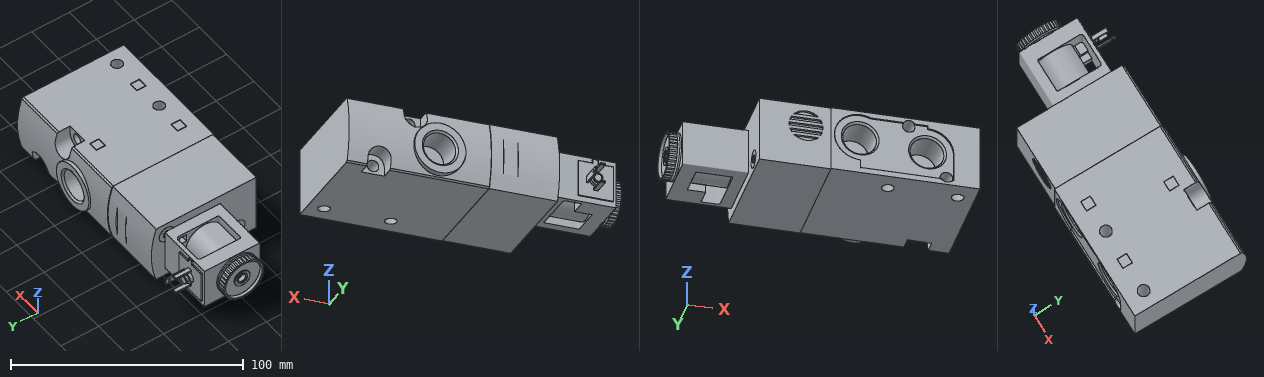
import cadquery as cq
import math


TOTAL_LENGTH = 132.2
BLOCK_HEIGHT = 31.0
HALF_HEIGHT = BLOCK_HEIGHT / 2
COIL_FRONT_X = 5.3
PILOT_START_X = 34.4
VALVE_START_X = 66.1
COIL_AXIS_Y = 31.8

VALVE_BACK_Y = 56.4
BACK_BULGE = 2.5
VALVE_EDGE_CHAMFER = 0.7
PORT_DIAMETER = 14.9
PORT_MOUTH_DIAMETER = 16.8
PORT_DEPTH = 14.5
PORTS_XZ = ((79.2, 2.4), (109.0, 0.0))
PANEL_DEPTH = 0.8
PANEL_RADIUS = 11.5
PANEL_HALF_HEIGHT = 13.0
BOLT_DIAMETER = 5.4
FRONT_BOLT_Z = 11.6
FRONT_BOLTS = ((100.7, 1), (117.5, -1))
TOP_BOLTS_X = (93.5, 124.5)
TOP_BOLT_Y = 9.1
BOLT_SLOT_WIDTH = 10.7
BOLT_SLOT_FLOOR_Y = 47.3
BACK_PORT_X = 90.3
BACK_PORT_Z = -2.4
BACK_BOSS_DIAMETER = 23.8
BACK_BOSS_Y = 57.4
LABEL_SIZE = 4.8
LABEL_DEPTH = 0.3
BACK_LABEL_Y = 44.1

PILOT_FRONT_Y = 0.4
PILOT_BACK_Y = 56.0
VENT_DIAMETER = 14.9
VENT_X = 55.1
VENT_Z = 4.8
VENT_DEPTH = 1.0
VENT_BAR_HEIGHT = 1.5
VENT_PITCH = 3.0
VENT_BAR_COUNT = 4
BACK_POCKET_START_X = 53.5
BACK_POCKET_LENGTH = 6.7
BACK_POCKET_HEIGHT = 18.5
BACK_POCKET_FLOOR_Y = 55.4

SCREW_DIAMETER = 8.0
SCREW_LENGTH = 13.2
SCREWS_YZ = ((47.8, 9.0), (10.5, -9.4))
SOCKET_DEPTH = 1.3
SOCKET_TIP_RADIUS = 2.0
SOCKET_ROOT_RADIUS = 1.5
SOCKET_LOBES = 6

COIL_FRONT_Y = 19.4
COIL_BACK_Y = 48.9
COIL_HEIGHT = 21.8
COIL_EDGE_FILLET = 0.4
WINDOW_START_X = 12.4
WINDOW_END_X = 28.8
WINDOW_FRONT_Y = 24.3
WINDOW_BACK_Y = 46.9
WINDOW_FRONT_FILLET = 0.7
WINDOW_BACK_FILLET = 1.3
WIRE_OPENING_SIZE = 3.8
WIRE_OPENING_BACK_Y = 45.2
WIRE_OPENING_TOP_Z = 9.4
BOBBIN_DIAMETER = 20.0
LOWER_BLOCK_END_X = 20.5
LOWER_BLOCK_FRONT_Y = 39.0
LOWER_BLOCK_TOP_Z = -5.3
UPPER_BLOCK_END_X = 17.3
UPPER_BLOCK_FRONT_Y = 41.8
UPPER_BLOCK_TOP_Z = -2.6
UPPER_BLOCK_CHAMFER = 1.3

PLATE_START_X = 6.9
PLATE_END_X = 23.0
PLATE_BACK_Y = 49.5
PLATE_HEIGHT = 16.7
KEY_WIDTH = 2.6
KEY_TOP_Z = 10.2
POST_X = 15.0
POST_BASE_DIAMETER = 5.3
POST_BASE_Y = 51.1
POST_NECK_DIAMETER = 3.3
POST_NECK_Y = 52.5
POST_HEAD_DIAMETER = 4.0
POST_HEAD_Y = 53.0
BLADE_TIP_CHAMFER = 0.3
POWER_BLADE_WIDTH = 2.1
POWER_BLADE_THICKNESS = 0.9
POWER_BLADE_TIP_Y = 58.0
POWER_BLADE_Z = 4.2
EARTH_BLADE_X = 18.9
EARTH_BLADE_Z = -0.1
EARTH_BLADE_THICKNESS = 0.8
EARTH_BLADE_WIDTH = 3.0
EARTH_BLADE_TIP_Y = 59.9
EARTH_HOLE_DIAMETER = 1.3
EARTH_HOLE_Y = 57.7

NUT_RADIUS = 10.7
NUT_THICKNESS = 3.6
TOOTH_COUNT = 36
TOOTH_DEPTH = 0.4
NUT_RECESS_DIAMETER = 19.3
NUT_RECESS_DEPTH = 1.6
HUB_DIAMETER = 8.0
HUB_HEIGHT = 0.7
HUB_RING_DIAMETER = 5.3
HUB_RING_DEPTH = 0.4
HUB_HOLE_DIAMETER = 3.8
NUT_NECK_DIAMETER = 10.0
WASHER_DIAMETER = 21.1
WASHER_THICKNESS = 0.8


def box(x_range, y_range, z_range):
    """Box between two limits on each axis."""
    size = [high - low for low, high in (x_range, y_range, z_range)]
    corner = (x_range[0], y_range[0], z_range[0])
    return cq.Workplane("XY").box(*size, centered=False).translate(corner)


def x_cylinder(diameter, start_x, length, y, z):
    return cq.Workplane("YZ", origin=(start_x, y, z)).circle(diameter / 2).extrude(length)


def y_cylinder(diameter, x, z, start_y, end_y):
    """Cylinder along Y between two Y positions."""
    plane = cq.Workplane("XZ", origin=(x, start_y, z))
    return plane.circle(diameter / 2).extrude(start_y - end_y)


def domed_block(start_x, end_x, front_y, back_y):
    """Block with a flat front and a back that bulges outward along an arc."""
    edge_y = back_y - BACK_BULGE
    return (
        cq.Workplane("YZ", origin=(start_x, 0, 0))
        .moveTo(front_y, -HALF_HEIGHT)
        .lineTo(edge_y, -HALF_HEIGHT)
        .threePointArc((back_y, 0), (edge_y, HALF_HEIGHT))
        .lineTo(front_y, HALF_HEIGHT)
        .close()
        .extrude(end_x - start_x)
    )


def port(x, z, mouth_y, inward):
    """Port cutter along Y with a conical mouth; inward is +1 or -1."""
    radius = PORT_DIAMETER / 2
    mouth_radius = PORT_MOUTH_DIAMETER / 2
    cone_depth = mouth_radius - radius
    axis_end = (0, inward)
    return (
        cq.Workplane("XY", origin=(x, mouth_y, z))
        .polyline(
            [
                (0, 0),
                (mouth_radius, 0),
                (radius, inward * cone_depth),
                (radius, inward * PORT_DEPTH),
                (0, inward * PORT_DEPTH),
            ]
        )
        .close()
        .revolve(360, (0, 0), axis_end)
    )


def front_panel():
    """Shallow sunken panel around the two front ports."""
    (left_x, left_z), (right_x, right_z) = PORTS_XZ
    radius = PANEL_RADIUS
    top_z = PANEL_HALF_HEIGHT
    right_edge_x = right_x + radius
    left_arc_end_x = left_x + math.sqrt(radius**2 - (top_z - left_z) ** 2)
    diagonal = radius * math.sqrt(0.5)
    return (
        cq.Workplane("XZ")
        .moveTo(left_x, -top_z)
        .lineTo(left_x, left_z - radius)
        .threePointArc((left_x - radius, left_z), (left_arc_end_x, top_z))
        .lineTo(right_x, top_z)
        .lineTo(right_x, right_z + radius)
        .threePointArc((right_x + diagonal, right_z + diagonal), (right_edge_x, right_z))
        .lineTo(right_edge_x, -top_z)
        .close()
        .extrude(-PANEL_DEPTH)
    )


def bolt_slot(x, side):
    """Round-bottomed notch behind a front bolt hole, open to the top (+1) or bottom (-1)."""
    half_width = BOLT_SLOT_WIDTH / 2
    z = side * FRONT_BOLT_Z
    rounded = y_cylinder(BOLT_SLOT_WIDTH, x, z, BOLT_SLOT_FLOOR_Y, VALVE_BACK_Y)
    z_range = sorted((z, side * HALF_HEIGHT))
    opening = box((x - half_width, x + half_width), (BOLT_SLOT_FLOOR_Y, VALVE_BACK_Y), z_range)
    return rounded.union(opening)


def label_pocket(x, y):
    """Shallow square pocket cutter in the top face."""
    half = LABEL_SIZE / 2
    z_range = (HALF_HEIGHT - LABEL_DEPTH, HALF_HEIGHT)
    return box((x - half, x + half), (y - half, y + half), z_range)


def make_valve_body():
    body = domed_block(VALVE_START_X, TOTAL_LENGTH, 0, VALVE_BACK_Y)
    body = body.edges("|X").edges(">Y").chamfer(VALVE_EDGE_CHAMFER)
    body = body.union(
        y_cylinder(BACK_BOSS_DIAMETER, BACK_PORT_X, BACK_PORT_Z, BOLT_SLOT_FLOOR_Y, BACK_BOSS_Y)
    )
    body = body.cut(port(BACK_PORT_X, BACK_PORT_Z, BACK_BOSS_Y, -1))
    body = body.cut(front_panel())
    for x, z in PORTS_XZ:
        body = body.cut(port(x, z, PANEL_DEPTH, 1))
        body = body.cut(label_pocket(x, TOP_BOLT_Y))
    body = body.cut(label_pocket(BACK_PORT_X, BACK_LABEL_Y))
    for x, side in FRONT_BOLTS:
        body = body.cut(y_cylinder(BOLT_DIAMETER, x, side * FRONT_BOLT_Z, 0, VALVE_BACK_Y))
        body = body.cut(bolt_slot(x, side))
    top_bolts = [(x, TOP_BOLT_Y) for x in TOP_BOLTS_X]
    holes = cq.Workplane("XY", origin=(0, 0, -HALF_HEIGHT)).pushPoints(top_bolts)
    return body.cut(holes.circle(BOLT_DIAMETER / 2).extrude(BLOCK_HEIGHT))


def vent_grille():
    """Shallow round vent cutter divided by horizontal bars."""
    floor_y = PILOT_FRONT_Y + VENT_DEPTH
    half = VENT_DIAMETER / 2
    vent = y_cylinder(VENT_DIAMETER, VENT_X, VENT_Z, PILOT_FRONT_Y, floor_y)
    for i in range(VENT_BAR_COUNT):
        z = VENT_Z + (i - (VENT_BAR_COUNT - 1) / 2) * VENT_PITCH
        bar_z = (z - VENT_BAR_HEIGHT / 2, z + VENT_BAR_HEIGHT / 2)
        vent = vent.cut(box((VENT_X - half, VENT_X + half), (PILOT_FRONT_Y, floor_y), bar_z))
    return vent


def make_pilot_block():
    block = domed_block(PILOT_START_X, VALVE_START_X, PILOT_FRONT_Y, PILOT_BACK_Y)
    block = block.cut(vent_grille())
    pocket_end_x = BACK_POCKET_START_X + BACK_POCKET_LENGTH
    half = BACK_POCKET_HEIGHT / 2
    block = block.cut(
        box((BACK_POCKET_START_X, pocket_end_x), (BACK_POCKET_FLOOR_Y, PILOT_BACK_Y), (-half, half))
    )
    for y, z in SCREWS_YZ:
        block = block.cut(x_cylinder(SCREW_DIAMETER, PILOT_START_X, SCREW_LENGTH, y, z))
    return block


def make_screw(y, z):
    """Screw flush with the pilot block face, with a six-pointed socket."""
    screw = x_cylinder(SCREW_DIAMETER, PILOT_START_X, SCREW_LENGTH, y, z)
    points = []
    for i in range(2 * SOCKET_LOBES):
        radius = SOCKET_ROOT_RADIUS if i % 2 else SOCKET_TIP_RADIUS
        angle = math.pi / 2 + i * math.pi / SOCKET_LOBES
        points.append((radius * math.cos(angle), radius * math.sin(angle)))
    face = cq.Workplane("YZ", origin=(PILOT_START_X, y, z))
    return screw.cut(face.polyline(points).close().extrude(SOCKET_DEPTH))


def coil_frame():
    """Coil housing with an open window that shows the round bobbin."""
    half = COIL_HEIGHT / 2
    z_range = (-half, half)
    frame = box((COIL_FRONT_X, PILOT_START_X), (COIL_FRONT_Y, COIL_BACK_Y), z_range)
    frame = frame.edges("|X").edges("<Y").fillet(COIL_EDGE_FILLET)
    window = box((WINDOW_START_X, WINDOW_END_X), (WINDOW_FRONT_Y, WINDOW_BACK_Y), z_range)
    window = window.edges("|Z and <Y").fillet(WINDOW_FRONT_FILLET)
    window = window.edges("|Z and >Y").fillet(WINDOW_BACK_FILLET)
    wire_opening = box(
        (WINDOW_END_X, PILOT_START_X),
        (WIRE_OPENING_BACK_Y - WIRE_OPENING_SIZE, WIRE_OPENING_BACK_Y),
        (WIRE_OPENING_TOP_Z - WIRE_OPENING_SIZE, WIRE_OPENING_TOP_Z),
    )
    bobbin_length = PILOT_START_X - COIL_FRONT_X
    bobbin = x_cylinder(BOBBIN_DIAMETER, COIL_FRONT_X, bobbin_length, COIL_AXIS_Y, 0)
    lower_block = box(
        (WINDOW_START_X, LOWER_BLOCK_END_X),
        (LOWER_BLOCK_FRONT_Y, WINDOW_BACK_Y),
        (-half, LOWER_BLOCK_TOP_Z),
    )
    upper_block = box(
        (WINDOW_START_X, UPPER_BLOCK_END_X),
        (UPPER_BLOCK_FRONT_Y, WINDOW_BACK_Y),
        (LOWER_BLOCK_TOP_Z, UPPER_BLOCK_TOP_Z),
    )
    upper_block = upper_block.faces(">Z").edges("<Y").chamfer(UPPER_BLOCK_CHAMFER)
    frame = frame.cut(window).cut(wire_opening)
    return frame.union(bobbin).union(lower_block).union(upper_block)


def terminal_plate():
    """Flat plate on the back of the coil with a key tab at its top."""
    half = PLATE_HEIGHT / 2
    y_range = (COIL_BACK_Y, PLATE_BACK_Y)
    plate = box((PLATE_START_X, PLATE_END_X), y_range, (-half, half))
    return plate.union(box((POST_X - KEY_WIDTH / 2, POST_X + KEY_WIDTH / 2), y_range, (half, KEY_TOP_Z)))


def terminal_post():
    base = y_cylinder(POST_BASE_DIAMETER, POST_X, 0, PLATE_BACK_Y, POST_BASE_Y)
    neck = y_cylinder(POST_NECK_DIAMETER, POST_X, 0, POST_BASE_Y, POST_NECK_Y)
    head = y_cylinder(POST_HEAD_DIAMETER, POST_X, 0, POST_NECK_Y, POST_HEAD_Y)
    return base.union(neck).union(head)


def blade(x, z, x_size, z_size, tip_y):
    """Contact blade along Y, with the tip chamfered on its two wide faces."""
    x_range = (x - x_size / 2, x + x_size / 2)
    z_range = (z - z_size / 2, z + z_size / 2)
    long_tip_edges = "|X" if x_size > z_size else "|Z"
    contact = box(x_range, (PLATE_BACK_Y, tip_y), z_range)
    return contact.faces(">Y").edges(long_tip_edges).chamfer(BLADE_TIP_CHAMFER)


def earth_blade():
    thickness = EARTH_BLADE_THICKNESS
    contact = blade(EARTH_BLADE_X, EARTH_BLADE_Z, thickness, EARTH_BLADE_WIDTH, EARTH_BLADE_TIP_Y)
    start_x = EARTH_BLADE_X - thickness / 2
    return contact.cut(
        x_cylinder(EARTH_HOLE_DIAMETER, start_x, thickness, EARTH_HOLE_Y, EARTH_BLADE_Z)
    )


def make_coil():
    coil = coil_frame().union(terminal_plate()).union(terminal_post()).union(earth_blade())
    for z in (-POWER_BLADE_Z, POWER_BLADE_Z):
        coil = coil.union(
            blade(POST_X, z, POWER_BLADE_WIDTH, POWER_BLADE_THICKNESS, POWER_BLADE_TIP_Y)
        )
    return coil


def toothed_disc():
    """Disc with evenly spaced pointed teeth around its rim."""
    points = []
    for i in range(2 * TOOTH_COUNT):
        radius = NUT_RADIUS - TOOTH_DEPTH if i % 2 else NUT_RADIUS
        angle = i * math.pi / TOOTH_COUNT
        points.append((radius * math.cos(angle), radius * math.sin(angle)))
    face = cq.Workplane("YZ", origin=(0, COIL_AXIS_Y, 0))
    return face.polyline(points).close().extrude(NUT_THICKNESS)


def make_nut():
    """Toothed nut with a dished face, and a neck and washer flange against the coil."""
    nut = toothed_disc()
    dish = x_cylinder(NUT_RECESS_DIAMETER, 0, NUT_RECESS_DEPTH, COIL_AXIS_Y, 0)
    hub_x = NUT_RECESS_DEPTH - HUB_HEIGHT
    hub = x_cylinder(HUB_DIAMETER, hub_x, HUB_HEIGHT, COIL_AXIS_Y, 0)
    nut = nut.cut(dish.cut(hub))
    washer_x = COIL_FRONT_X - WASHER_THICKNESS
    neck_length = washer_x - NUT_THICKNESS
    nut = nut.union(x_cylinder(NUT_NECK_DIAMETER, NUT_THICKNESS, neck_length, COIL_AXIS_Y, 0))
    nut = nut.union(x_cylinder(WASHER_DIAMETER, washer_x, WASHER_THICKNESS, COIL_AXIS_Y, 0))
    nut = nut.cut(x_cylinder(HUB_RING_DIAMETER, hub_x, HUB_RING_DEPTH, COIL_AXIS_Y, 0))
    return nut.cut(x_cylinder(HUB_HOLE_DIAMETER, 0, NUT_THICKNESS, COIL_AXIS_Y, 0))


valve_body = make_valve_body()
pilot_block = make_pilot_block()
coil = make_coil()
nut = make_nut()
screws = [make_screw(y, z) for y, z in SCREWS_YZ]

result = cq.Compound.makeCompound(
    [
        valve_body.val(),
        pilot_block.val(),
        coil.val(),
        nut.val(),
        *[screw.val() for screw in screws],
    ]
)